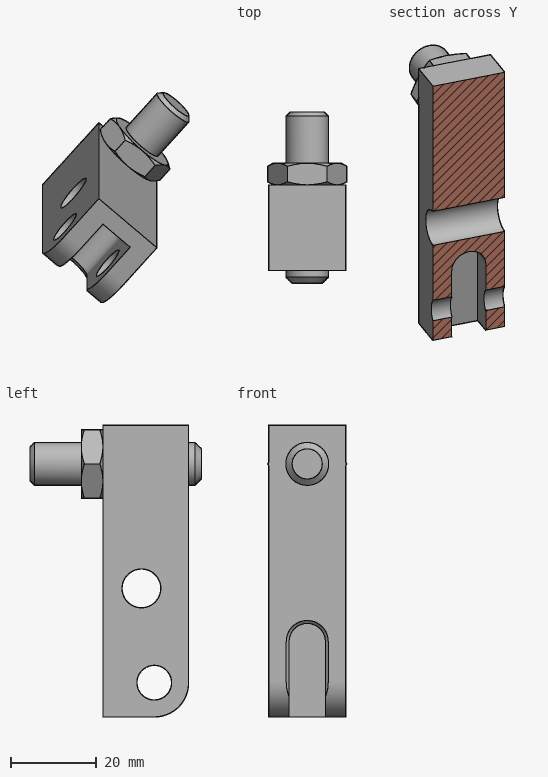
import cadquery as cq
import math

block_width = 18.0
block_depth = 20.0
block_height = 68.0
corner_radius = 8.0

slot_width = 8.4
slot_depth = 16.0
slot_arc_height = 17.6
slot_chamfer = 0.7

pivot_diameter = 8.0
upper_hole_diameter = 9.0
upper_hole_setback = 11.0
upper_hole_height = 30.0

stud_diameter = 10.0
stud_height = block_height - block_width / 2
front_protrusion = 3.0
front_chamfer = 1.5
back_chamfer = 1.0
total_depth = 40.0
nut_corners = 18.5
nut_flats = nut_corners * math.cos(math.radians(30))
nut_thickness = 5.0
nut_chamfer_angle = 30


def make_block():
    block = cq.Workplane("XY").box(
        block_width, block_depth, block_height, centered=(True, False, False)
    )
    return block.edges("<Y and <Z").fillet(corner_radius)


def slot_outline(half_width):
    """Round-topped slot profile on the front face, open at the bottom."""
    return (
        cq.Workplane("XZ")
        .moveTo(-half_width, 0)
        .lineTo(-half_width, slot_arc_height)
        .threePointArc((0, slot_arc_height + half_width), (half_width, slot_arc_height))
        .lineTo(half_width, 0)
        .close()
    )


def make_slot():
    half_width = slot_width / 2
    slot = slot_outline(half_width).extrude(-slot_depth)
    rim = slot_outline(half_width + slot_chamfer).extrude(-slot_chamfer, taper=45)
    return slot.union(rim)


def cross_hole(diameter, setback, height):
    return (
        cq.Workplane("YZ")
        .center(setback, height)
        .circle(diameter / 2)
        .extrude(block_width, both=True)
    )


def stud_plane(y):
    """Plane across the stud axis."""
    return cq.Workplane("XZ", origin=(0, y, stud_height))


def make_stud():
    stud = stud_plane(-front_protrusion).circle(stud_diameter / 2).extrude(-total_depth)
    return stud.faces("<Y").chamfer(front_chamfer).faces(">Y").chamfer(back_chamfer)


def make_nut():
    nut = stud_plane(block_depth).polygon(6, nut_corners).extrude(-nut_thickness)
    corner_rise = (nut_corners - nut_flats) / 2
    corner_drop = corner_rise * math.tan(math.radians(nut_chamfer_angle))
    blank = (
        stud_plane(block_depth)
        .circle(nut_corners / 2)
        .extrude(-nut_thickness)
        .faces("<Y or >Y")
        .edges()
        .chamfer(corner_drop, corner_rise)
    )
    return nut.intersect(blank)


result = (
    make_block()
    .cut(make_slot())
    .cut(cross_hole(pivot_diameter, corner_radius, corner_radius))
    .cut(cross_hole(upper_hole_diameter, upper_hole_setback, upper_hole_height))
    .union(make_stud())
    .union(make_nut())
)